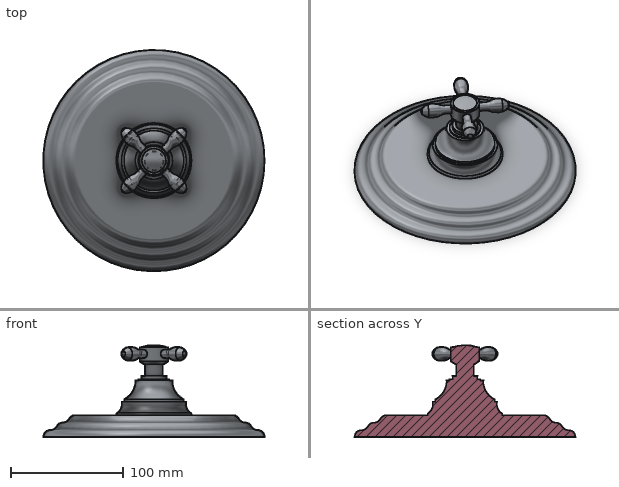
import cadquery as cq
import math

PLATE_RADIUS = 98.5
PLATE_RIM_ROUND = 6.5
PLATE_FACE_RADIUS = 69.9
PLATE_HEIGHT = 19.7
OGEE_ARC_COUNT = 4

FOOT_RADIUS = 33.5
FOOT_ROUND = 2.2
FOOT_ROUND_TOP = (32.0, 21.9)
LOWER_BELL_WAIST = (30.0, 24.5)
LOWER_BELL_RADIUS = 28.7
LOWER_BELL_FLARE_TOP = 27.8
LOWER_BELL_TOP = 31.5
UPPER_BELL_RADIUS = 26.5
UPPER_BELL_FLARE_BOTTOM = 33.7
UPPER_BELL_WAIST = (19.3, 40.2)
UPPER_BELL_TOP_RADIUS = 16.5
UPPER_BELL_TOP = 50.4
WASHER_RADIUS = 13.8
WASHER_TOP = 51.5
COLLAR_RADIUS = 11.2
COLLAR_TOP = 54.5

STEM_RADIUS = 8.0
HUB_RADIUS = 12.8
HUB_CONE_RADIUS = 8.7
HUB_CONE_BOTTOM = 64.8
HUB_BOTTOM = 67.3
HUB_TOP = 80.0
BUTTON_RADIUS = 10.6
BUTTON_EDGE = 80.3
TOTAL_HEIGHT = 81.9

ARM_COUNT = 4
ARM_FIRST_ANGLE = 45.0
ARM_HEIGHT = 74.0
ARM_NECK_RADIUS = 3.7
ARM_NECK_END = 18.0
ARM_FLARE_END = (23.6, 5.3)
ARM_BULB_START = (25.8, 6.0)
ARM_BULB_PEAK = (29.5, 6.3)
ARM_BULB_END = (33.0, 6.0)
ARM_NOSE_MIDDLE = (36.5, 4.3)
ARM_NOSE_END = (38.5, 2.5)
ARM_TIP = 39.5


def revolve_about_z(outline):
    """Turn a closed (radius, height) outline on the XZ plane about Z."""
    return outline.revolve(360, (0, 0, 0), (0, 1, 0))


def make_plate():
    rim_top_radius = PLATE_RADIUS - PLATE_RIM_ROUND
    arc_run = (rim_top_radius - PLATE_FACE_RADIUS) / OGEE_ARC_COUNT
    arc_rise = (PLATE_HEIGHT - PLATE_RIM_ROUND) / OGEE_ARC_COUNT
    outline = (
        cq.Workplane("XZ")
        .lineTo(PLATE_RADIUS, 0)
        .radiusArc((rim_top_radius, PLATE_RIM_ROUND), -PLATE_RIM_ROUND)
    )
    for _ in range(OGEE_ARC_COUNT):
        outline = outline.tangentArcPoint((-arc_run, arc_rise))
    return revolve_about_z(outline.lineTo(0, PLATE_HEIGHT).close())


def make_base():
    outline = (
        cq.Workplane("XZ")
        .lineTo(FOOT_RADIUS, 0)
        .lineTo(FOOT_RADIUS, PLATE_HEIGHT)
        .radiusArc(FOOT_ROUND_TOP, -FOOT_ROUND)
        .threePointArc(LOWER_BELL_WAIST, (LOWER_BELL_RADIUS, LOWER_BELL_FLARE_TOP))
        .lineTo(LOWER_BELL_RADIUS, LOWER_BELL_TOP)
        .lineTo(UPPER_BELL_RADIUS, LOWER_BELL_TOP)
        .lineTo(UPPER_BELL_RADIUS, UPPER_BELL_FLARE_BOTTOM)
        .threePointArc(UPPER_BELL_WAIST, (UPPER_BELL_TOP_RADIUS, UPPER_BELL_TOP))
        .lineTo(WASHER_RADIUS, UPPER_BELL_TOP)
        .lineTo(WASHER_RADIUS, WASHER_TOP)
        .lineTo(COLLAR_RADIUS, WASHER_TOP)
        .lineTo(COLLAR_RADIUS, COLLAR_TOP)
        .lineTo(0, COLLAR_TOP)
        .close()
    )
    return revolve_about_z(outline)


def make_hub():
    dome_rise = TOTAL_HEIGHT - BUTTON_EDGE
    dome_radius = (BUTTON_RADIUS**2 + dome_rise**2) / (2 * dome_rise)
    dome_half_angle = math.asin(BUTTON_RADIUS / dome_radius) / 2
    dome_middle = (
        dome_radius * math.sin(dome_half_angle),
        TOTAL_HEIGHT - dome_radius * (1 - math.cos(dome_half_angle)),
    )
    outline = (
        cq.Workplane("XZ")
        .lineTo(STEM_RADIUS, 0)
        .lineTo(STEM_RADIUS, HUB_CONE_BOTTOM)
        .lineTo(HUB_CONE_RADIUS, HUB_CONE_BOTTOM)
        .lineTo(HUB_RADIUS, HUB_BOTTOM)
        .lineTo(HUB_RADIUS, HUB_TOP)
        .lineTo(BUTTON_RADIUS, HUB_TOP)
        .lineTo(BUTTON_RADIUS, BUTTON_EDGE)
        .threePointArc(dome_middle, (0, TOTAL_HEIGHT))
        .close()
    )
    return revolve_about_z(outline)


def make_arm():
    """One arm along +X at the origin, turned about the X axis."""
    return (
        cq.Workplane("XZ")
        .lineTo(0, ARM_NECK_RADIUS)
        .lineTo(ARM_NECK_END, ARM_NECK_RADIUS)
        .tangentArcPoint(ARM_FLARE_END, relative=False)
        .lineTo(*ARM_BULB_START)
        .threePointArc(ARM_BULB_PEAK, ARM_BULB_END)
        .threePointArc(ARM_NOSE_MIDDLE, ARM_NOSE_END)
        .lineTo(ARM_TIP, 0)
        .close()
        .revolve(360, (0, 0, 0), (1, 0, 0))
    )


result = make_plate().union(make_base()).union(make_hub())
for index in range(ARM_COUNT):
    angle = ARM_FIRST_ANGLE + index * 360 / ARM_COUNT
    arm = make_arm().rotate((0, 0, 0), (0, 0, 1), angle)
    result = result.union(arm.translate((0, 0, ARM_HEIGHT)))